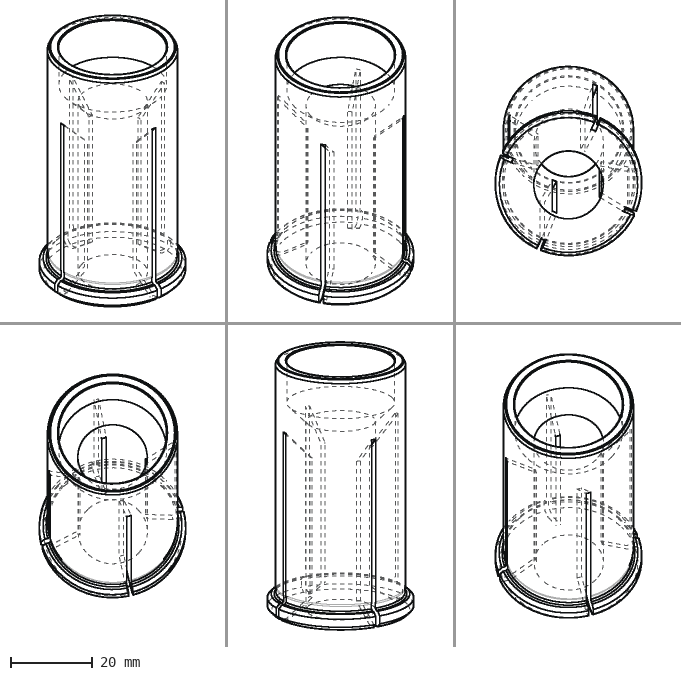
import cadquery as cq
import math

length = 64.0
sleeve_radius = 32.0 / 2
cup_radius = 26.5 / 2
bore_radius = 17.0 / 2
cup_floor_height = 53.25
top_chamfer_width = 0.45
top_chamfer_height = 0.8
rim_bevel_width = 0.3
rim_bevel_height = 0.1
cup_chamfer = 0.25

flange_radius = 36.0 / 2
flange_height = 4.0
flange_top_chamfer = 0.95
flange_bottom_chamfer = 1.0
relief_radius = 15.9
relief_bottom = 4.5
relief_lip = 5.75
relief_top = 6.3
relief_foot_radius = relief_radius + relief_bottom - flange_height

slot_width = 1.15
slot_top = 48.0
slot_top_angle = 45.0
ramp_top = 4.6
ramp_angle = 35.0
slot_reach = flange_radius + 0.65


def sleeve_body():
    """Revolve the half section of the flanged sleeve around Z."""
    cone_drop = cup_radius - bore_radius
    chamfer_top = length - rim_bevel_height
    chamfer_top_radius = sleeve_radius - top_chamfer_width
    section = [
        (bore_radius, 0),
        (flange_radius - flange_bottom_chamfer, 0),
        (flange_radius, flange_bottom_chamfer),
        (flange_radius, flange_height - flange_top_chamfer),
        (flange_radius - flange_top_chamfer, flange_height),
        (relief_foot_radius, flange_height),
        (relief_radius, relief_bottom),
        (relief_radius, relief_lip),
        (sleeve_radius, relief_top),
        (sleeve_radius, chamfer_top - top_chamfer_height),
        (chamfer_top_radius, chamfer_top),
        (chamfer_top_radius - rim_bevel_width, length),
        (cup_radius + cup_chamfer, length),
        (cup_radius, length - cup_chamfer),
        (cup_radius, cup_floor_height),
        (bore_radius, cup_floor_height - cone_drop),
    ]
    return cq.Workplane("XZ").polyline(section).close().revolve(360, (0, 0), (0, 1))


def slot_cutter():
    """Radial slot toward +X, with both ends sloping along straight ramps."""
    top_slope = math.tan(math.radians(slot_top_angle))
    ramp_slope = math.tan(math.radians(ramp_angle))

    def upper_end(radius):
        return slot_top + (radius - sleeve_radius) * top_slope

    def lower_end(radius):
        return ramp_top - (radius - bore_radius) * ramp_slope

    inner = bore_radius - 0.65
    outline = [
        (inner, lower_end(inner)),
        (slot_reach, lower_end(slot_reach)),
        (slot_reach, upper_end(slot_reach)),
        (inner, upper_end(inner)),
    ]
    return cq.Workplane("XZ").polyline(outline).close().extrude(slot_width / 2, both=True)


result = sleeve_body()
for quarter_turn in range(4):
    result = result.cut(slot_cutter().rotate((0, 0, 0), (0, 0, 1), 90 * quarter_turn))